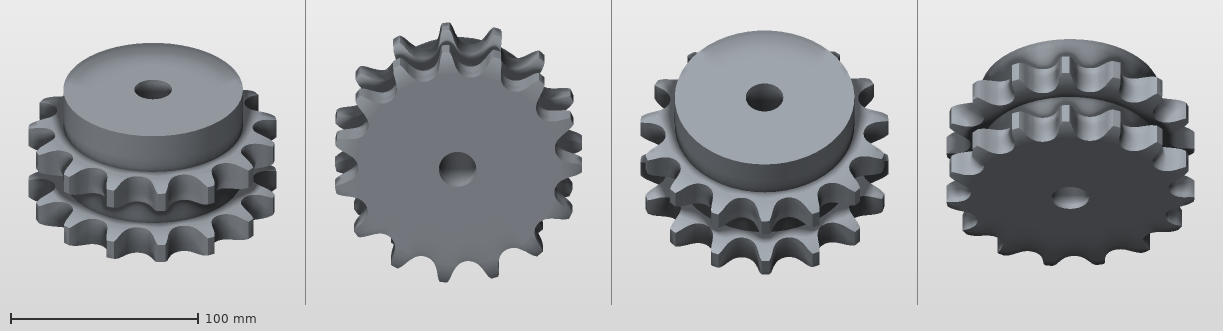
import cadquery as cq
import math

tooth_count = 15
pitch_diameter = 122.3
roller_diameter = 15.9
tip_diameter = 133.0
row_thickness = 15.8
row_spacing = 32.0
hub_diameter = 96.0
total_height = 70.0
bore_diameter = 20.0

pitch_radius = pitch_diameter / 2
tip_radius = tip_diameter / 2
tooth_angle = 360 / tooth_count
chain_pitch = pitch_diameter * math.sin(math.pi / tooth_count)

relief_radius = chain_pitch
relief_depth = 0.1 * chain_pitch
relief_length = math.sqrt(relief_radius**2 - (relief_radius - relief_depth) ** 2)
flat_face_radius = tip_radius - relief_length

seating_angle = 35 + 60 / tooth_count
working_angle = 18 - 56 / tooth_count
topping_angle = 17 - 64 / tooth_count
flank_angle = seating_angle - working_angle
seating_radius = roller_diameter / 2
working_offset = 0.8 * roller_diameter
working_radius = seating_radius + working_offset
topping_offset = 1.4 * roller_diameter
topping_radius = (
    working_offset * math.cos(math.radians(working_angle))
    + topping_offset * math.cos(math.radians(topping_angle))
    - working_radius
)


def offset(point, length, degrees):
    """Point reached by going a length from a point in a given direction."""
    angle = math.radians(degrees)
    return (point[0] + length * math.cos(angle), point[1] + length * math.sin(angle))


def rotated(point, degrees):
    """Point turned about the sprocket axis."""
    x, y = point
    angle = math.radians(degrees)
    return (
        x * math.cos(angle) - y * math.sin(angle),
        x * math.sin(angle) + y * math.cos(angle),
    )


def left_flank():
    """Points of the left half of the gap centred on +Y, from the root out to the tip."""
    seat = (0, pitch_radius)
    root = offset(seat, seating_radius, -90)
    seating_mid = offset(seat, seating_radius, 180 + (90 + seating_angle) / 2)
    seating_end = offset(seat, seating_radius, 180 + seating_angle)

    working_centre = offset(seat, working_offset, seating_angle)
    working_mid = offset(working_centre, working_radius, 180 + seating_angle - working_angle / 2)
    working_end = offset(working_centre, working_radius, 180 + flank_angle)

    topping_centre = offset(seat, topping_offset, 180 + tooth_angle / 2)
    topping_start = offset(topping_centre, topping_radius, flank_angle)
    centre_distance = math.hypot(*topping_centre)
    outward = math.degrees(math.atan2(topping_centre[1], topping_centre[0]))
    cos_turn = (tip_radius**2 - centre_distance**2 - topping_radius**2) / (
        2 * centre_distance * topping_radius
    )
    tip_direction = outward - math.degrees(math.acos(cos_turn))
    topping_mid = offset(topping_centre, topping_radius, (flank_angle + tip_direction) / 2)
    tip = offset(topping_centre, topping_radius, tip_direction)

    return [
        root, seating_mid, seating_end, working_mid, working_end,
        topping_start, topping_mid, tip,
    ]


def tooth_prism():
    """Straight-sided toothed plate, one row thick."""
    left = left_flank()
    right = [(-x, y) for x, y in left]
    outline = cq.Workplane("XY").moveTo(*right[-1])
    for gap in range(tooth_count):
        turn = gap * tooth_angle
        root, seat_l, seat_end_l, work_l, work_end_l, top_start_l, top_l, tip_l = [
            rotated(point, turn) for point in left
        ]
        _, _, seat_end_r, work_r, work_end_r, top_start_r, top_r, _ = [
            rotated(point, turn) for point in right
        ]
        tooth_centre = rotated((0, tip_radius), turn + tooth_angle / 2)
        next_tip = rotated(right[-1], turn + tooth_angle)
        outline = (
            outline.threePointArc(top_r, top_start_r)
            .lineTo(*work_end_r)
            .threePointArc(work_r, seat_end_r)
            .threePointArc(root, seat_end_l)
            .threePointArc(work_l, work_end_l)
            .lineTo(*top_start_l)
            .threePointArc(top_l, tip_l)
            .threePointArc(tooth_centre, next_tip)
        )
    return outline.close().extrude(row_thickness)


def relieved_disc():
    """Disc whose rim is rounded on both faces by the relief arcs."""
    half_sweep = math.degrees(math.asin(relief_length / relief_radius)) / 2
    lower_centre = (flat_face_radius, relief_radius)
    upper_centre = (flat_face_radius, row_thickness - relief_radius)
    return (
        cq.Workplane("XZ")
        .lineTo(flat_face_radius, 0)
        .threePointArc(
            offset(lower_centre, relief_radius, half_sweep - 90),
            (tip_radius, relief_depth),
        )
        .lineTo(tip_radius, row_thickness - relief_depth)
        .threePointArc(
            offset(upper_centre, relief_radius, 90 - half_sweep),
            (flat_face_radius, row_thickness),
        )
        .lineTo(0, row_thickness)
        .close()
        .revolve(360, (0, 0, 0), (0, 1, 0))
    )


tooth_row = tooth_prism().intersect(relieved_disc())
hub = cq.Workplane("XY").circle(hub_diameter / 2).extrude(total_height)
bore = cq.Workplane("XY").circle(bore_diameter / 2).extrude(total_height)

result = hub.union(tooth_row).union(tooth_row.translate((0, 0, row_spacing))).cut(bore)